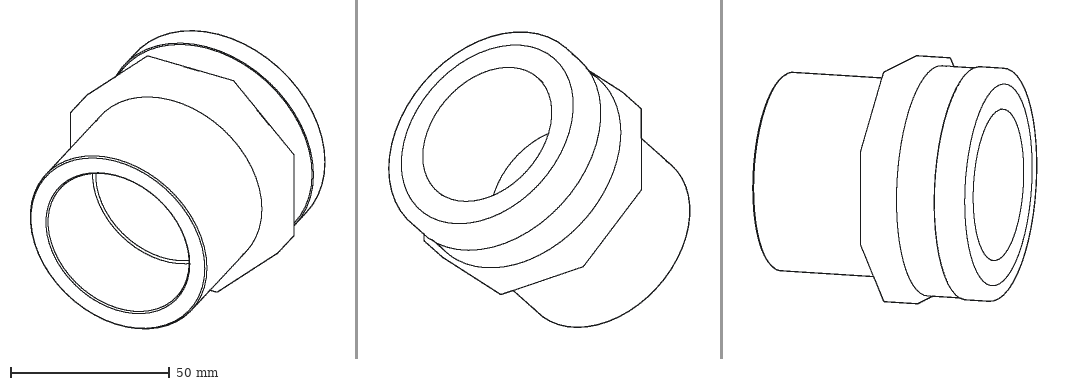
import cadquery as cq


spigot_length = 38.2
grip_length = 12.0
collar_length = 12.8
ring_length = 8.5
socket_depth = 31.0

overall_length = spigot_length + grip_length + collar_length + ring_length
spigot_face_y = -overall_length / 2
grip_front_y = spigot_face_y + spigot_length
grip_back_y = grip_front_y + grip_length
grip_mid_y = (grip_front_y + grip_back_y) / 2
ring_front_y = grip_back_y + collar_length
back_face_y = ring_front_y + ring_length

across_flats = 74.0
spigot_diameter = 63.0
socket_diameter = 50.3
bore_diameter = 48.0
collar_diameter = 73.0
ring_diameter = across_flats
ring_lip_diameter = 64.0

ring_lip_thickness = 1.0
lip_front_y = back_face_y - ring_lip_thickness

grip_edge_radius = 0.6
spigot_rim_chamfer = 0.5
socket_rim_chamfer = 0.5
ring_edge_radius = 0.7


def cylinder(diameter, start_y, end_y):
    """Solid cylinder on the Y axis between two stations."""
    plane = cq.Plane(origin=(0, start_y, 0), xDir=(1, 0, 0), normal=(0, 1, 0))
    return cq.Workplane(plane).circle(diameter / 2).extrude(end_y - start_y)


def octagon_grip():
    """Octagonal wrench grip with flats on +-X and +-Z and all edges rounded."""
    plane = cq.Plane(origin=(0, grip_front_y, 0), xDir=(1, 0, 0), normal=(0, 1, 0))
    square = cq.Workplane(plane).rect(across_flats, across_flats).extrude(grip_length)
    turned_square = square.rotate((0, 0, 0), (0, 1, 0), 45)
    return square.intersect(turned_square).edges().fillet(grip_edge_radius)


def make_fitting():
    """Spigot, octagon grip and collar in one piece, bored through with a socket at the spigot end."""
    spigot = cylinder(spigot_diameter, spigot_face_y, grip_mid_y)
    spigot = spigot.faces("<Y").chamfer(spigot_rim_chamfer)

    collar = cylinder(collar_diameter, grip_mid_y, lip_front_y)
    collar_nose = cylinder(ring_lip_diameter, lip_front_y, back_face_y)

    fitting = spigot.union(octagon_grip()).union(collar).union(collar_nose)
    fitting = fitting.cut(cylinder(bore_diameter, spigot_face_y, back_face_y))
    fitting = fitting.cut(cylinder(socket_diameter, spigot_face_y, spigot_face_y + socket_depth))

    socket_mouth = fitting.faces("<Y").edges(cq.selectors.RadiusNthSelector(0))
    return socket_mouth.chamfer(socket_rim_chamfer)


def make_ring():
    """Reinforcing ring around the collar, with a lip over its end."""
    ring = cylinder(ring_diameter, ring_front_y, back_face_y)
    ring = ring.faces(">Y").edges().fillet(ring_edge_radius)
    ring = ring.cut(cylinder(collar_diameter, ring_front_y, lip_front_y))
    return ring.cut(cylinder(ring_lip_diameter, lip_front_y, back_face_y))


fitting = make_fitting()
ring = make_ring()

result = cq.Compound.makeCompound([fitting.solids().val(), ring.solids().val()])